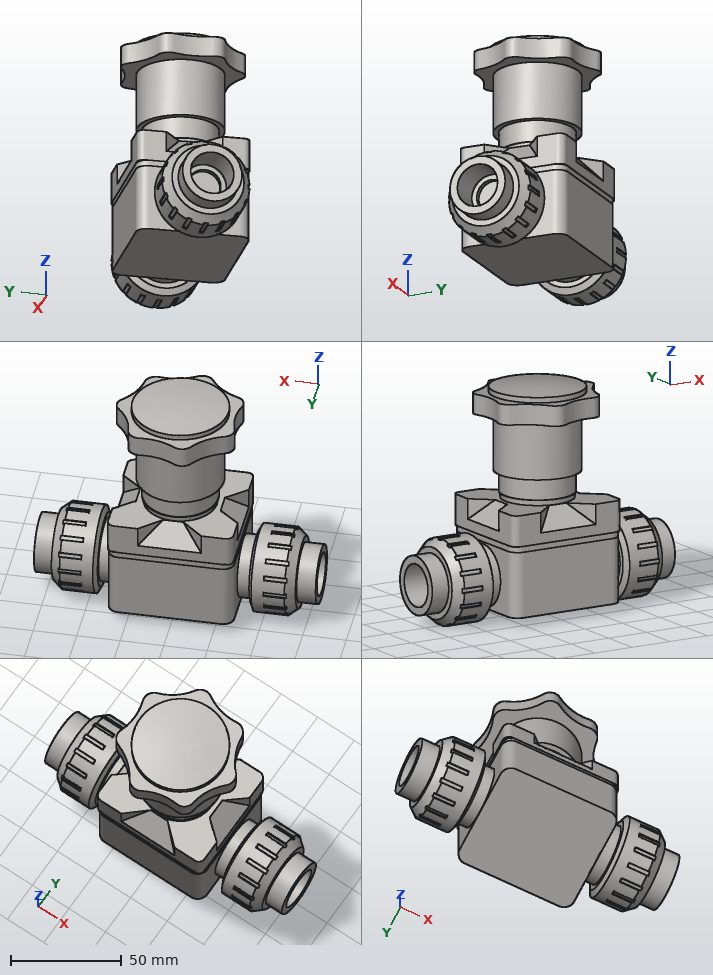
import cadquery as cq
import math


BODY_LENGTH = 57.8
BODY_WIDTH = 52.0
BODY_BOTTOM = -15.0
BODY_TOP = 15.5
BODY_CORNER_RADIUS = 5.2
DIAPHRAGM_THICKNESS = 2.7
BONNET_BASE_HEIGHT = 14.5
BONNET_CORNER_RADIUS = 3.2

NOTCH_HEIGHT = 9.5
END_NOTCH_OUTER_WIDTH = 26.2
END_NOTCH_INNER_WIDTH = 10.1
END_NOTCH_DEPTH = 9.5
SIDE_NOTCH_OUTER_WIDTH = 29.3
SIDE_NOTCH_INNER_WIDTH = 9.3
SIDE_NOTCH_DEPTH = 9.0

NECK_ROOT_LOWER_DIAMETER = 33.8
NECK_ROOT_UPPER_DIAMETER = 34.2
NECK_ROOT_HEIGHT = 2.6
NECK_DIAMETER = 35.0
NECK_HEIGHT = 10.1
SLEEVE_DIAMETER = 40.1
SLEEVE_HEIGHT = 27.0
WHEEL_HEIGHT = 9.5
CAP_DIAMETER = 44.3
CAP_RIM_HEIGHT = 2.5

TIP_COUNT = 7
TIP_OUTER_RADIUS = 29.3
TIP_ARC_RADIUS = 5.3
FLUTE_VALLEY_RADIUS = 25.1

OVERALL_LENGTH = 129.5
OVERALL_HEIGHT = 106.2
STUB_DIAMETER = 29.1
STUB_LENGTH = 18.1
PIPE_DIAMETER = 27.5
SOCKET_DIAMETER = 20.0
SOCKET_DEPTH = 15.5
PIPE_BORE_DIAMETER = 15.0
NUT_DIAMETER = 40.5
NUT_PIPE_HOLE_DIAMETER = 27.6
NUT_INNER_X = 34.8
NUT_LENGTH = 21.2
NUT_INNER_FACE_DIAMETER = 34.2
NUT_INNER_CHAMFER_LENGTH = 1.5
NUT_OUTER_FACE_DIAMETER = 33.3
NUT_OUTER_CHAMFER_LENGTH = 4.4

SLOT_COUNT = 16
SLOT_WIDTH = 2.0
SLOT_DEPTH = 0.6
SLOT_INNER_X = 42.0
SLOT_LENGTH = 10.6

BONNET_BOTTOM = BODY_TOP + DIAPHRAGM_THICKNESS
BONNET_BASE_TOP = BONNET_BOTTOM + BONNET_BASE_HEIGHT
NECK_BOTTOM = BONNET_BASE_TOP + NECK_ROOT_HEIGHT
SLEEVE_BOTTOM = NECK_BOTTOM + NECK_HEIGHT
WHEEL_BOTTOM = SLEEVE_BOTTOM + SLEEVE_HEIGHT
CAP_BOTTOM = WHEEL_BOTTOM + WHEEL_HEIGHT
CAP_RIM_TOP = CAP_BOTTOM + CAP_RIM_HEIGHT
DOME_TOP = OVERALL_HEIGHT - NUT_DIAMETER / 2
STUB_END_X = BODY_LENGTH / 2 + STUB_LENGTH
PIPE_END_X = OVERALL_LENGTH / 2
NUT_OUTER_X = NUT_INNER_X + NUT_LENGTH


def rounded_block(bottom, height, corner_radius):
    """Block with the body's footprint and rounded vertical edges."""
    block = cq.Workplane("XY", origin=(0, 0, bottom)).rect(BODY_LENGTH, BODY_WIDTH).extrude(height)
    return block.edges("|Z").fillet(corner_radius)


def disc(diameter, bottom, height):
    """Cylinder on the spindle axis."""
    return cq.Workplane("XY", origin=(0, 0, bottom)).circle(diameter / 2).extrude(height)


def rod(diameter, start_x, end_x):
    """Cylinder on the pipe axis."""
    return cq.Workplane("YZ", origin=(start_x, 0, 0)).circle(diameter / 2).extrude(end_x - start_x)


def polar_point(radius, angle):
    """Point in plan at a radius and an angle in degrees."""
    return (radius * math.cos(math.radians(angle)), radius * math.sin(math.radians(angle)))


def make_body():
    """Lower body with a round pipe stub at each end."""
    block = rounded_block(BODY_BOTTOM, BODY_TOP - BODY_BOTTOM, BODY_CORNER_RADIUS)
    return block.union(rod(STUB_DIAMETER, -STUB_END_X, STUB_END_X))


def make_diaphragm():
    """Flat sheet clamped between the body and the bonnet."""
    return rounded_block(BODY_TOP, DIAPHRAGM_THICKNESS, BODY_CORNER_RADIUS)


def notch_cutter(outer_width, inner_width, depth, face_distance):
    """Notch in the +X side: upright walls that converge inward over a floor that rises to the top."""
    inner_x = face_distance - depth
    plan = [
        (face_distance, -outer_width / 2),
        (face_distance, outer_width / 2),
        (inner_x, inner_width / 2),
        (inner_x, -inner_width / 2),
    ]
    floor_bottom = BONNET_BASE_TOP - NOTCH_HEIGHT
    side_profile = [
        (face_distance, floor_bottom),
        (face_distance, BONNET_BASE_TOP),
        (inner_x, BONNET_BASE_TOP),
    ]
    walls = cq.Workplane("XY", origin=(0, 0, floor_bottom)).polyline(plan).close().extrude(NOTCH_HEIGHT)
    wedge = cq.Workplane("XZ").polyline(side_profile).close().extrude(outer_width / 2, both=True)
    return walls.intersect(wedge)


def make_bonnet_base():
    """Bonnet flange with a notch in each of its four sides."""
    base = rounded_block(BONNET_BOTTOM, BONNET_BASE_HEIGHT, BONNET_CORNER_RADIUS)
    end_notch = notch_cutter(
        END_NOTCH_OUTER_WIDTH, END_NOTCH_INNER_WIDTH, END_NOTCH_DEPTH, BODY_LENGTH / 2
    )
    side_notch = notch_cutter(
        SIDE_NOTCH_OUTER_WIDTH, SIDE_NOTCH_INNER_WIDTH, SIDE_NOTCH_DEPTH, BODY_WIDTH / 2
    )
    for notch, angle in ((end_notch, 0), (side_notch, 90), (end_notch, 180), (side_notch, 270)):
        base = base.cut(notch.rotate((0, 0, 0), (0, 0, 1), angle))
    return base


def make_neck_root():
    """Slightly tapered foot of the neck, wider at its top."""
    profile = [
        (0, BONNET_BASE_TOP),
        (NECK_ROOT_LOWER_DIAMETER / 2, BONNET_BASE_TOP),
        (NECK_ROOT_UPPER_DIAMETER / 2, NECK_BOTTOM),
        (0, NECK_BOTTOM),
    ]
    return cq.Workplane("XZ").polyline(profile).close().revolve(360, (0, 0, 0), (0, 1, 0))


def make_handwheel_rim():
    """Seven-pointed grip rim with one tip toward +X."""
    half_pitch = 180 / TIP_COUNT
    tip_center = TIP_OUTER_RADIUS - TIP_ARC_RADIUS

    cosine = math.cos(math.radians(half_pitch))
    valley = FLUTE_VALLEY_RADIUS
    flute_radius = (tip_center**2 + valley**2 - 2 * tip_center * valley * cosine - TIP_ARC_RADIUS**2) / (
        2 * (TIP_ARC_RADIUS - valley + tip_center * cosine)
    )
    flute_center_x, flute_center_y = polar_point(valley + flute_radius, half_pitch)

    toward_flute = math.atan2(flute_center_y, flute_center_x - tip_center)
    join_x = tip_center + TIP_ARC_RADIUS * math.cos(toward_flute)
    join_y = TIP_ARC_RADIUS * math.sin(toward_flute)
    join_radius = math.hypot(join_x, join_y)
    join_angle = math.degrees(math.atan2(join_y, join_x))

    outline = cq.Workplane("XY", origin=(0, 0, WHEEL_BOTTOM)).moveTo(*polar_point(join_radius, -join_angle))
    for tip in range(TIP_COUNT):
        angle = tip * 2 * half_pitch
        outline = outline.threePointArc(
            polar_point(TIP_OUTER_RADIUS, angle), polar_point(join_radius, angle + join_angle)
        )
        outline = outline.threePointArc(
            polar_point(valley, angle + half_pitch),
            polar_point(join_radius, angle + 2 * half_pitch - join_angle),
        )
    return outline.close().extrude(WHEEL_HEIGHT)


def make_cap():
    """Round cap with a shallow domed top."""
    radius = CAP_DIAMETER / 2
    dome_rise = DOME_TOP - CAP_RIM_TOP
    dome_radius = (radius**2 + dome_rise**2) / (2 * dome_rise)
    ball = cq.Workplane("XY", origin=(0, 0, DOME_TOP - dome_radius)).sphere(dome_radius)
    return disc(CAP_DIAMETER, CAP_BOTTOM, DOME_TOP - CAP_BOTTOM).intersect(ball)


def make_bonnet():
    """Bonnet with its neck, sleeve and handwheel in one piece."""
    bonnet = make_bonnet_base()
    bonnet = bonnet.union(make_neck_root())
    bonnet = bonnet.union(disc(NECK_DIAMETER, NECK_BOTTOM, NECK_HEIGHT))
    bonnet = bonnet.union(disc(SLEEVE_DIAMETER, SLEEVE_BOTTOM, SLEEVE_HEIGHT))
    bonnet = bonnet.union(make_handwheel_rim())
    return bonnet.union(make_cap())


def make_pipe_end():
    """Pipe end on the +X side, with a socket that steps down to the bore."""
    pipe = rod(PIPE_DIAMETER, STUB_END_X, PIPE_END_X)
    pipe = pipe.cut(rod(PIPE_BORE_DIAMETER, STUB_END_X, PIPE_END_X))
    return pipe.cut(rod(SOCKET_DIAMETER, PIPE_END_X - SOCKET_DEPTH, PIPE_END_X))


def make_union_nut():
    """Union nut on the +X side, with chamfered ends and grip slots."""
    profile = [
        (NUT_INNER_X, 0),
        (NUT_INNER_X, NUT_INNER_FACE_DIAMETER / 2),
        (NUT_INNER_X + NUT_INNER_CHAMFER_LENGTH, NUT_DIAMETER / 2),
        (NUT_OUTER_X - NUT_OUTER_CHAMFER_LENGTH, NUT_DIAMETER / 2),
        (NUT_OUTER_X, NUT_OUTER_FACE_DIAMETER / 2),
        (NUT_OUTER_X, 0),
    ]
    nut = cq.Workplane("XY").polyline(profile).close().revolve(360, (0, 0, 0), (1, 0, 0))
    nut = nut.cut(rod(STUB_DIAMETER, NUT_INNER_X, STUB_END_X))
    nut = nut.cut(rod(NUT_PIPE_HOLE_DIAMETER, STUB_END_X, NUT_OUTER_X))

    slot = cq.Workplane("XY").box(SLOT_LENGTH, SLOT_WIDTH, 2 * SLOT_DEPTH)
    slot = slot.translate((SLOT_INNER_X + SLOT_LENGTH / 2, 0, NUT_DIAMETER / 2))
    for index in range(SLOT_COUNT):
        nut = nut.cut(slot.rotate((0, 0, 0), (1, 0, 0), index * 360 / SLOT_COUNT))
    return nut


body = make_body()
diaphragm = make_diaphragm()
bonnet = make_bonnet()

pipe_ends = []
union_nuts = []
for end_angle in (0, 180):
    pipe_ends.append(make_pipe_end().rotate((0, 0, 0), (0, 0, 1), end_angle).val())
    union_nuts.append(make_union_nut().rotate((0, 0, 0), (0, 0, 1), end_angle).val())

result = cq.Compound.makeCompound([body.val(), diaphragm.val(), bonnet.val(), *pipe_ends, *union_nuts])